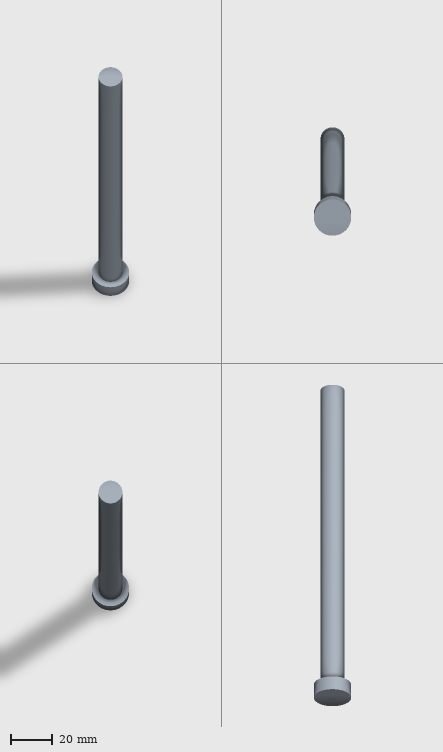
import cadquery as cq

total_length = 167.0
head_diameter = 18.0
head_height = 7.0
shaft_diameter = 11.5

head = cq.Workplane("XY").circle(head_diameter / 2).extrude(head_height)
shaft = cq.Workplane("XY").circle(shaft_diameter / 2).extrude(total_length)

result = head.union(shaft)